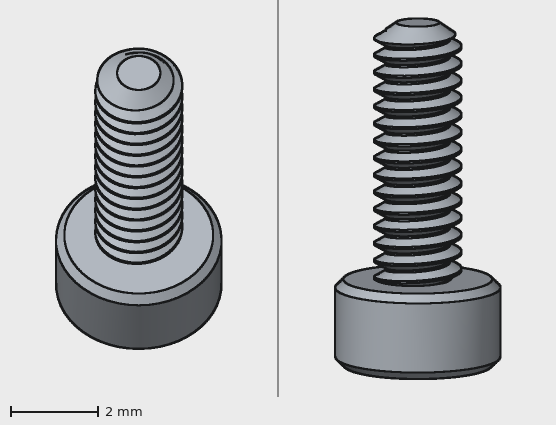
import cadquery as cq
import math

total_length = 8.0
head_diameter = 3.8
head_height = 2.0
head_chamfer = 0.19

major_radius = 1.0
root_radius = 0.74
pitch = 0.4
root_flat = pitch / 8
flank_slope = math.tan(math.radians(30))
first_root_height = 0.08

tip_radius = 0.5
tip_height = 0.36

crest_overshoot = 0.03
turns_below_head = 1
turns_above_tip = 1


def make_head():
    head = cq.Workplane("XY").circle(head_diameter / 2).extrude(head_height)
    return head.edges().chamfer(head_chamfer)


def make_shank():
    """Plain cylinder with a conical tip, reaching down through the head."""
    outline = [
        (0, 0),
        (major_radius, 0),
        (major_radius, total_length - tip_height),
        (tip_radius, total_length),
        (0, total_length),
    ]
    shank = cq.Workplane("XZ").polyline(outline).close().revolve(360, (0, 0), (0, 1))
    return shank.rotate((0, 0, 0), (0, 0, 1), 180)


def make_groove():
    """Right-handed 60 degree V groove with a flat root."""
    start = head_height + first_root_height - turns_below_head * pitch
    turns = math.ceil((total_length - start) / pitch) + turns_above_tip
    outer_radius = major_radius + crest_overshoot
    root_half = root_flat / 2
    mouth_half = root_half + (outer_radius - root_radius) * flank_slope
    profile = cq.Workplane("XZ").polyline([
        (root_radius, start + root_half),
        (outer_radius, start + mouth_half),
        (outer_radius, start - mouth_half),
        (root_radius, start - root_half),
    ]).close()
    path = cq.Wire.makeHelix(pitch, turns * pitch, root_radius, cq.Vector(0, 0, start))
    return profile.sweep(cq.Workplane(path), isFrenet=True)


result = make_shank().cut(make_groove()).union(make_head())